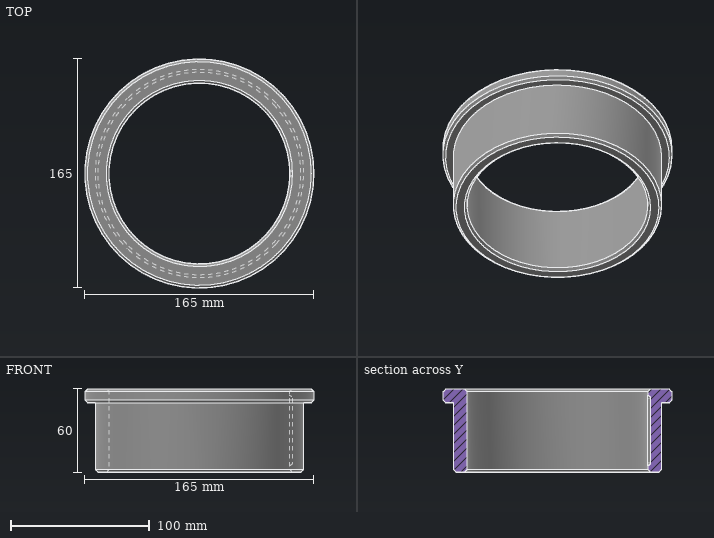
import cadquery as cq

flange_diameter = 165.0
body_diameter = 150.0
bore_diameter = 130.0
total_height = 60.0
flange_thickness = 10.0
edge_chamfer = 2.0

groove_width = 4.0
groove_end_margin = 5.0


def make_sleeve():
    """Flanged sleeve standing on Z = 0, chamfered on its outer edges and both ends of the bore."""
    body_height = total_height - flange_thickness
    body = cq.Workplane("XY").circle(body_diameter / 2).extrude(body_height)
    body = body.faces("<Z").edges().chamfer(edge_chamfer)

    flange = cq.Workplane("XY").workplane(offset=body_height)
    flange = flange.circle(flange_diameter / 2).extrude(flange_thickness)
    flange = flange.edges().chamfer(edge_chamfer)

    bore = cq.Workplane("XY").circle(bore_diameter / 2).extrude(total_height)
    sleeve = body.union(flange).cut(bore)
    return sleeve.edges(cq.selectors.RadiusNthSelector(0)).chamfer(edge_chamfer)


def make_groove_cutter():
    """Round bar with hemispherical ends, its axis lying on the bore wall."""
    radius = groove_width / 2
    length = total_height - 2 * groove_end_margin
    profile = (
        cq.Workplane("XZ")
        .moveTo(0, 0)
        .radiusArc((radius, radius), -radius)
        .lineTo(radius, length - radius)
        .radiusArc((0, length), -radius)
        .close()
    )
    bar = profile.revolve(360, (0, 0, 0), (0, 1, 0))
    return bar.translate((bore_diameter / 2, 0, groove_end_margin))


result = make_sleeve().cut(make_groove_cutter())